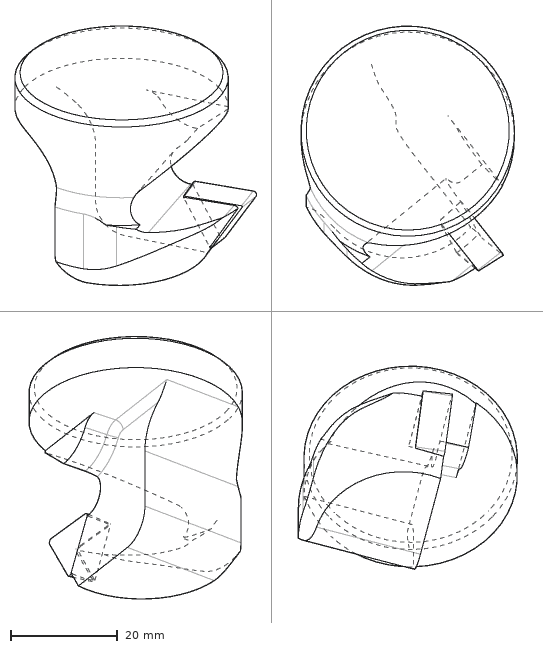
import cadquery as cq
import math


disc_radius = 40.0 / 2
total_height = 35.35
disc_underside = 28.0
disc_chamfer = 1.0

shank_left = -6.0
underside_radius = 10.0
heel_radius = 6.0
neck_top = 19.4
ledge_height = 14.35
neck_flare = 0.3
jaw_left_radius = 21.05
jaw_wall = [
    (6.55, -21.05),
    (12.9, -20.15),
    (19.05, -16.75),
    (23.65, -11.15),
    (26.0, -3.75),
]
cone_base_radius = 17.02
cone_axis_y = -1.4
cone_flare = 0.61

flank_turn = -4.0
flank_v = 1.9
hook_turn = -2.2
hook_radius = 4.0
hook_u = 13.23
hook_z = 17.78
slant_angle = 41.0
floor_angle = 2.5
nose_u = 24.55
nose_radius = 1.05
reach = 56.3

insert_thickness = 5.55
insert_taper = 5.0
insert_corner_radius = 0.65
insert_rear = (13.3, 14.55)
insert_tip = (27.4, 15.05)
insert_foot = (19.85, 3.1)

rib_end_v = 8.45
rib_bottom = 22.05
rib_left = 1.4
rib_bend_height = 26.25
rib_slope = 60.0
rib_corner_fillet = 1.65


def turned(body, turn):
    return body.rotate((0, 0, 0), (0, 0, 1), turn)


def upright_plane(y):
    """XZ sketch plane at the given Y; a positive extrusion runs towards -Y."""
    return cq.Workplane("XZ", origin=(0, y, 0))


def cone(bottom_radius, top_radius, bottom, top, axis_y=0.0):
    profile = [(0, bottom), (bottom_radius, bottom), (top_radius, top), (0, top)]
    return cq.Workplane("XZ").polyline(profile).close().revolve().translate((0, axis_y, 0))


def make_head():
    """Disc and the column beneath it, before the shank is shaped."""
    head = cq.Workplane("XY", origin=(0, 0, neck_top)).circle(disc_radius)
    return head.extrude(total_height - neck_top).faces(">Z").chamfer(disc_chamfer)


def make_jaw():
    """Jaw with a rounded side wall, conical underside and flared neck."""
    arc_middle = jaw_left_radius * math.sqrt(0.5)
    jaw = (
        cq.Workplane("XY")
        .moveTo(-jaw_left_radius, 0)
        .threePointArc((-arc_middle, -arc_middle), (0, -jaw_left_radius))
        .lineTo(*jaw_wall[0])
        .spline(jaw_wall[1:], tangents=[(1, 0), (0, 1)], includeCurrent=True)
        .lineTo(jaw_wall[-1][0], disc_radius)
        .lineTo(-jaw_left_radius, disc_radius)
        .close()
        .extrude(neck_top)
    )
    underside = cone(cone_base_radius, cone_base_radius + cone_flare * neck_top, 0, neck_top, cone_axis_y)
    ledge_radius = disc_radius + neck_flare * (neck_top - ledge_height)
    neck = cone(ledge_radius, disc_radius, ledge_height, neck_top)
    base = cq.Workplane("XY").rect(2 * reach, 2 * reach).extrude(ledge_height)
    return jaw.intersect(underside).intersect(base.union(neck))


def left_cutter():
    """Space left of the shank, with the large underside fillet and the heel round."""
    diagonal = math.sqrt(0.5)
    arc_x = shank_left - underside_radius
    arc_z = disc_underside - underside_radius
    heel_x = shank_left + heel_radius
    return (
        upright_plane(reach)
        .moveTo(-reach, disc_underside)
        .lineTo(arc_x, disc_underside)
        .threePointArc(
            (arc_x + underside_radius * diagonal, arc_z + underside_radius * diagonal),
            (shank_left, arc_z),
        )
        .lineTo(shank_left, heel_radius)
        .threePointArc(
            (heel_x - heel_radius * diagonal, heel_radius * (1 - diagonal)),
            (heel_x, 0),
        )
        .lineTo(heel_x, -heel_radius)
        .lineTo(-reach, -heel_radius)
        .close()
        .extrude(2 * reach)
    )


def hook_cutter():
    """Opening above the jaw, round at its inner end, and the rounding of the nose."""
    slant = math.radians(slant_angle)
    floor = math.radians(floor_angle)
    slant_start = (hook_u - hook_radius * math.sin(slant), hook_z + hook_radius * math.cos(slant))
    floor_start = (hook_u + hook_radius * math.sin(floor), hook_z - hook_radius * math.cos(floor))
    slant_end_u = hook_u + reach
    slant_end_z = slant_start[1] + (slant_end_u - slant_start[0]) * math.tan(slant)
    nose_z = floor_start[1] + (nose_u - floor_start[0]) * math.tan(floor)
    nose_end = (nose_u + nose_radius, nose_z - nose_radius)
    nose_middle = (nose_u + nose_radius * math.sqrt(0.5), nose_end[1] + nose_radius * math.sqrt(0.5))
    return turned(
        upright_plane(reach)
        .moveTo(*slant_start)
        .threePointArc((hook_u - hook_radius, hook_z), floor_start)
        .lineTo(nose_u, nose_z)
        .threePointArc(nose_middle, nose_end)
        .lineTo(nose_end[0], 0)
        .lineTo(slant_end_u, 0)
        .lineTo(slant_end_u, slant_end_z)
        .close()
        .extrude(2 * reach),
        hook_turn,
    )


def make_rib():
    """Rib whose left side is an S-curve of two tangent arcs."""
    slope = math.radians(rib_slope)
    upper_radius = (disc_underside - rib_bend_height) / (1 - math.cos(slope))
    lower_radius = (rib_bend_height - rib_bottom) / (1 - math.cos(slope))
    half_width = math.sin(slope / 2)
    half_drop = 1 - math.cos(slope / 2)
    bend_u = rib_left + upper_radius * math.sin(slope)
    lower_u = bend_u + lower_radius * math.sin(slope)
    return (
        upright_plane(rib_end_v)
        .moveTo(rib_left, disc_underside)
        .threePointArc(
            (rib_left + upper_radius * half_width, disc_underside - upper_radius * half_drop),
            (bend_u, rib_bend_height),
        )
        .threePointArc(
            (lower_u - lower_radius * half_width, rib_bottom + lower_radius * half_drop),
            (lower_u, rib_bottom),
        )
        .lineTo(reach, rib_bottom)
        .lineTo(reach, disc_underside)
        .close()
        .extrude(rib_end_v - flank_v)
    )


def flank_cutter():
    """Space under the disc behind the flank, leaving the rib with its filleted root."""
    cutter = cq.Workplane("XY").box(2 * reach, reach, disc_underside, centered=(True, False, False))
    cutter = cutter.translate((0, flank_v, 0)).cut(make_rib())
    root = cq.selectors.BoxSelector(
        (rib_left, flank_v - rib_corner_fillet, rib_bottom - rib_corner_fillet),
        (reach, flank_v + rib_corner_fillet, disc_underside),
    )
    return turned(cutter.edges(root).fillet(rib_corner_fillet), flank_turn)


def make_insert():
    outline = (
        cq.Sketch()
        .polygon([insert_rear, insert_tip, insert_foot, insert_rear])
        .vertices()
        .fillet(insert_corner_radius)
    )
    return turned(
        upright_plane(flank_v)
        .placeSketch(outline)
        .extrude(insert_thickness, taper=insert_taper),
        flank_turn,
    )


def make_housing(insert):
    housing = make_head().union(make_jaw())
    for cutter in (left_cutter(), flank_cutter(), hook_cutter(), insert):
        housing = housing.cut(cutter)
    return housing


insert = make_insert()
housing = make_housing(insert)
result = cq.Compound.makeCompound([housing.val(), insert.val()])